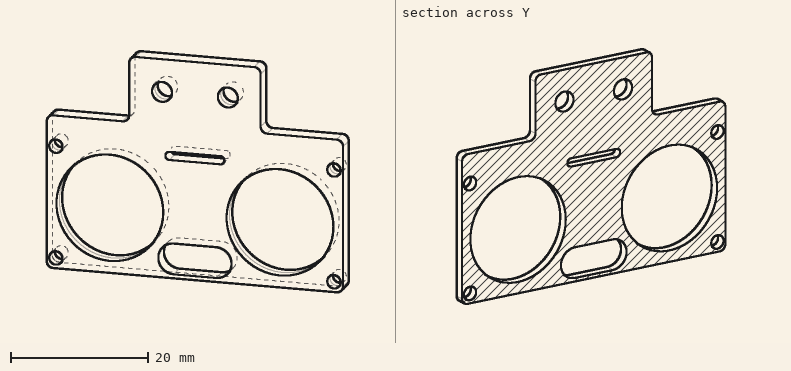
import cadquery as cq

plate_width = 45.0
plate_height = 23.3
thickness = 3.0
tab_width = 20.0
tab_height = 10.0
corner_radius = 1.0

opening_diameter = 16.2
opening_spacing = 25.85
opening_z = 9.95

corner_hole_diameter = 2.02
corner_hole_spacing = 42.2
corner_hole_low_z = 1.58
corner_hole_high_z = 18.65

tab_hole_diameter = 3.0
tab_hole_spacing = tab_width / 2
tab_hole_z = plate_height + tab_height / 2

narrow_slot_length = 8.95
narrow_slot_width = 1.2
narrow_slot_z = corner_hole_high_z
wide_slot_length = 11.1
wide_slot_width = 4.7
wide_slot_z = 2.95


def make_body():
    """Plate with a centred tab on top and rounded corners throughout."""
    half_plate = plate_width / 2
    half_tab = tab_width / 2
    top_z = plate_height + tab_height
    outline = [
        (-half_plate, 0),
        (half_plate, 0),
        (half_plate, plate_height),
        (half_tab, plate_height),
        (half_tab, top_z),
        (-half_tab, top_z),
        (-half_tab, plate_height),
        (-half_plate, plate_height),
    ]
    body = cq.Workplane("XZ").polyline(outline).close().extrude(thickness / 2, both=True)
    return body.edges("|Y").fillet(corner_radius)


def hole_pair(diameter, spacing, z):
    """Cutter for two through holes placed symmetrically about X = 0."""
    centres = [(-spacing / 2, z), (spacing / 2, z)]
    return cq.Workplane("XZ").pushPoints(centres).circle(diameter / 2).extrude(thickness, both=True)


def slot(length, width, z):
    """Cutter for a round-ended through slot centred on X = 0."""
    return cq.Workplane("XZ").center(0, z).slot2D(length, width).extrude(thickness, both=True)


result = make_body()
result = result.cut(hole_pair(opening_diameter, opening_spacing, opening_z))
result = result.cut(hole_pair(tab_hole_diameter, tab_hole_spacing, tab_hole_z))
for hole_z in (corner_hole_low_z, corner_hole_high_z):
    result = result.cut(hole_pair(corner_hole_diameter, corner_hole_spacing, hole_z))
result = result.cut(slot(narrow_slot_length, narrow_slot_width, narrow_slot_z))
result = result.cut(slot(wide_slot_length, wide_slot_width, wide_slot_z))